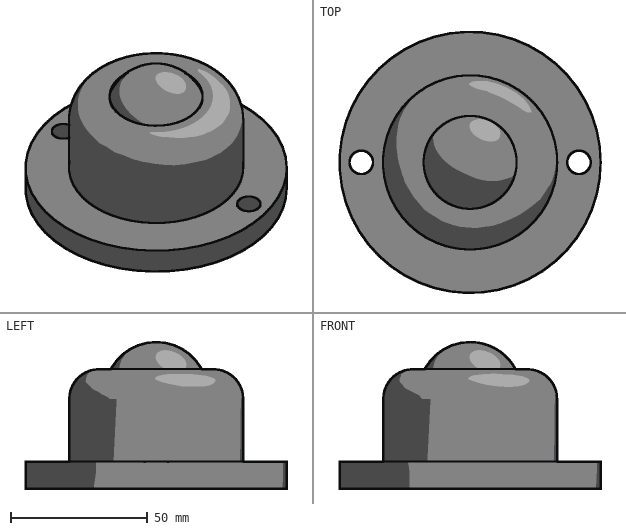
import cadquery as cq
import math

flange_diameter = 96.0
flange_thickness = 10.0
body_diameter = 64.0
housing_height = 44.0
shoulder_radius = 11.0

bolt_hole_diameter = 8.5
bolt_hole_spacing = 80.0

ball_diameter = 38.0
overall_height = 54.0
mouth_diameter = 34.2

ball_radius = ball_diameter / 2
ball_center_height = overall_height - ball_radius
mouth_radius = mouth_diameter / 2
mouth_contact_height = ball_center_height + math.sqrt(ball_radius**2 - mouth_radius**2)


def make_ball():
    """Full sphere that rises above the housing."""
    return cq.Workplane("XY").sphere(ball_radius).translate((0, 0, ball_center_height))


def make_housing():
    """Round flange and body with a rounded shoulder and a socket for the ball."""
    flange = cq.Workplane("XY").circle(flange_diameter / 2).extrude(flange_thickness)
    body = (
        cq.Workplane("XY")
        .circle(body_diameter / 2)
        .extrude(housing_height)
        .faces(">Z")
        .edges()
        .fillet(shoulder_radius)
    )
    bolt_holes = (
        cq.Workplane("XY")
        .pushPoints([(-bolt_hole_spacing / 2, 0), (bolt_hole_spacing / 2, 0)])
        .circle(bolt_hole_diameter / 2)
        .extrude(flange_thickness)
    )
    mouth = (
        cq.Workplane("XY", origin=(0, 0, mouth_contact_height))
        .circle(mouth_radius)
        .extrude(housing_height - mouth_contact_height)
    )
    return flange.union(body).cut(bolt_holes).cut(make_ball()).cut(mouth)


housing = make_housing()
ball = make_ball()

result = cq.Compound.makeCompound([housing.val(), ball.val()])